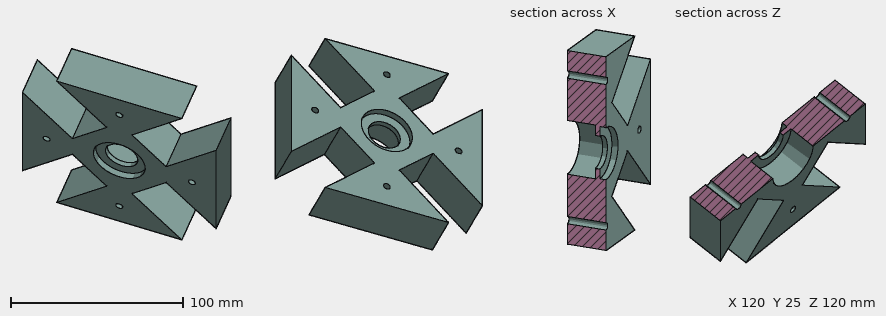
import cadquery as cq

side = 120.0
thickness = 25.0

slot_width = 30.0
slot_floor_distance = 26.0

bore_diameter = 20.0
counterbore_diameter = 32.0
counterbore_depth = 4.0
lip_thickness = 3.0
back_recess_diameter = 33.0
back_recess_depth = thickness - counterbore_depth - lip_thickness

arm_hole_diameter = 4.2
arm_hole_radius = 45.0


def corner_slot(angle):
    """Slot running outward from its floor past the corner at the given angle."""
    slot_length = side
    return (
        cq.Workplane("XZ")
        .transformed(rotate=(0, 0, angle))
        .center(slot_floor_distance + slot_length / 2, 0)
        .rect(slot_length, slot_width)
        .extrude(thickness / 2, both=True)
    )


result = cq.Workplane("XZ").rect(side, side).extrude(thickness / 2, both=True)

for corner_angle in (45, 135, 225, 315):
    result = result.cut(corner_slot(corner_angle))

result = (
    result.faces("<Y").workplane(origin=(0, 0, 0))
    .cboreHole(bore_diameter, counterbore_diameter, counterbore_depth)
)

result = (
    result.faces(">Y").workplane(origin=(0, 0, 0))
    .circle(back_recess_diameter / 2)
    .cutBlind(-back_recess_depth)
)

result = (
    result.faces("<Y").workplane(origin=(0, 0, 0))
    .polarArray(arm_hole_radius, 0, 360, 4)
    .hole(arm_hole_diameter)
)